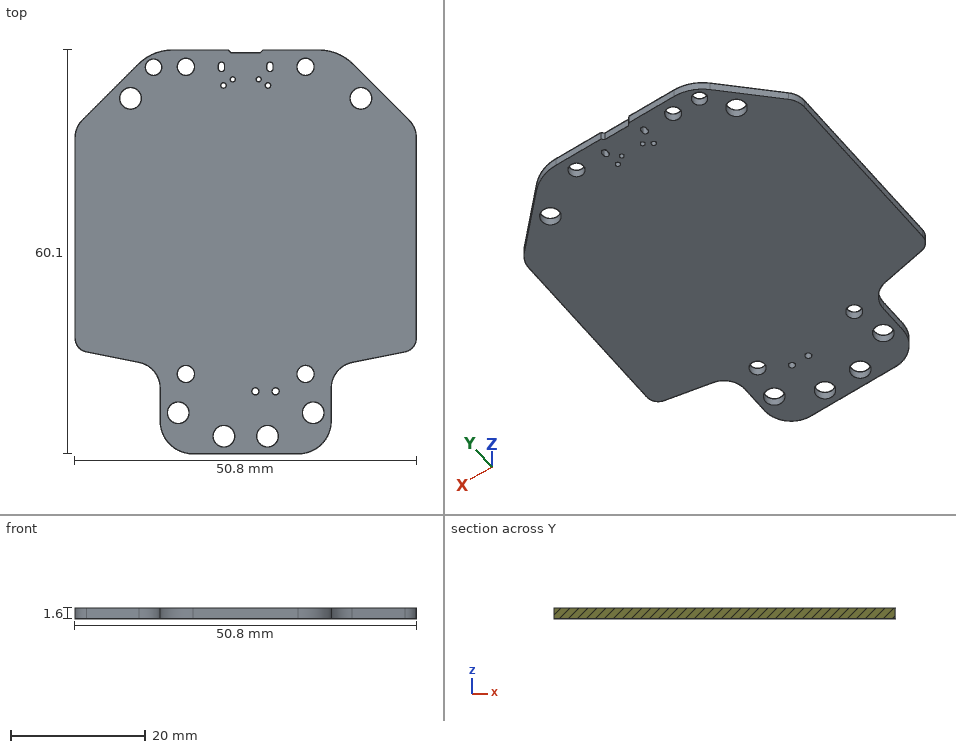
import cadquery as cq

width = 50.8
length = 60.1
thickness = 1.6
half_width = width / 2
half_length = length / 2

shoulder_size = 11.55
neck_half_width = 12.75
wing_outer_y = -14.55
wing_inner_y = -17.05
top_radius = 7.2
side_radius = 3.6
wing_radius = 2.1
neck_root_radius = 3.85
neck_end_radius = 4.9

notch_half_width = 2.6
notch_depth = 0.4

mirrored_holes = [
    (2.5, 8.9, 27.5),
    (2.5, 8.9, -18.15),
    (3.2, 17.1, 22.85),
    (3.2, 10.05, -23.9),
    (3.2, 3.25, -27.4),
    (0.7, 1.9, 25.65),
    (0.8, 3.3, 24.75),
]
single_holes = [
    (2.4, -13.7, 27.45),
    (1.0, 1.45, -20.75),
    (1.0, 4.45, -20.75),
]

slot_x = 3.6
slot_y = 27.5
slot_length = 1.4
slot_width = 0.9


def make_plate():
    """Extrude the sharp outline, then round its corners."""
    right_side = [
        (neck_half_width, -half_length, neck_end_radius),
        (neck_half_width, wing_inner_y, neck_root_radius),
        (half_width, wing_outer_y, wing_radius),
        (half_width, half_length - shoulder_size, side_radius),
        (half_width - shoulder_size, half_length, top_radius),
    ]
    right_points = [(x, y) for x, y, _ in right_side]
    left_points = [(-x, y) for x, y in reversed(right_points)]
    plate = cq.Workplane("XY").polyline(right_points + left_points).close().extrude(thickness)
    for x, y, radius in right_side:
        for corner_x in (x, -x):
            corner = cq.selectors.NearestToPointSelector((corner_x, y, thickness / 2))
            plate = plate.edges("|Z").edges(corner).fillet(radius)
    return plate


def make_notch():
    floor_half_width = notch_half_width - notch_depth
    floor_y = half_length - notch_depth
    points = [
        (-notch_half_width, half_length),
        (-floor_half_width, floor_y),
        (floor_half_width, floor_y),
        (notch_half_width, half_length),
    ]
    return cq.Workplane("XY").polyline(points).close().extrude(thickness)


def make_hole(diameter, x, y):
    return cq.Workplane("XY").center(x, y).circle(diameter / 2).extrude(thickness)


def make_slots():
    centres = [(-slot_x, slot_y), (slot_x, slot_y)]
    return cq.Workplane("XY").pushPoints(centres).slot2D(slot_length, slot_width, 90).extrude(thickness)


result = make_plate().cut(make_notch()).cut(make_slots())
for diameter, x, y in mirrored_holes:
    result = result.cut(make_hole(diameter, x, y)).cut(make_hole(diameter, -x, y))
for diameter, x, y in single_holes:
    result = result.cut(make_hole(diameter, x, y))